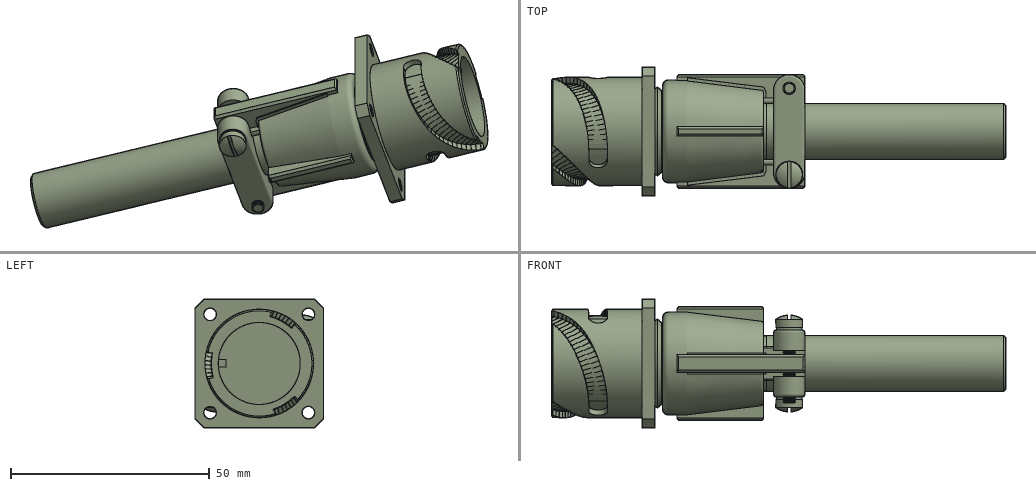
import cadquery as cq
import math

TOTAL_LENGTH = 114.67

SHELL_RADIUS = 13.7
SHELL_EDGE_CHAMFER = 0.4
BORE_RADIUS = 10.35
BORE_DEPTH = 4.5
KEY_WIDTH = 1.9
KEY_HEIGHT = 2.0
KEY_SETBACK = 0.4

RAMP_COUNT = 3
RAMP_WIDTH = 4.7
RAMP_FLOOR_RADIUS = 12.05
RAMP_END_X = 11.75
RAMP_END_ANGLE = -62.0
RAMP_STRAIGHT = 2.6
RAMP_BEND_RADIUS = 37.5
RAMP_BEND_ANGLE = 57.0
RAMP_FACETS = 27

FLANGE_SIZE = 32.51
FLANGE_START = 22.85
FLANGE_THICKNESS = 3.25
FLANGE_CORNER = 2.3
HOLE_OFFSET = 12.4
HOLE_MINOR_RADIUS = 1.55
HOLE_MAJOR_RADIUS = 1.95
HOLE_PITCH = 0.8

FLANGE_END = FLANGE_START + FLANGE_THICKNESS
NECK_START_RADIUS = 10.85
NECK_ROOT_RADIUS = 10.3
CREST_RADIUS = 11.2
CREST_OFFSET = 0.7
ROOT_OFFSET = 1.7
BACKSHELL_START = 28.0
BACKSHELL_RADIUS = 13.0
BACKSHELL_FRONT_FILLET = 1.5
CONE_START = 34.3
CONE_END = 53.55
CONE_END_RADIUS = 10.65
CONE_END_FILLET = 0.75

RIB_START = 31.65
RIB_REACH = 14.35
RIB_WIDTH = 2.4
RIB_CHAMFER = 0.6
RIB_END_CHAMFER = 0.45
ARM_THICKNESS = 4.5
ARM_END = 63.95
ROOT_BAND_THICKNESS = 5.2
ROOT_BAND_OFFSET = 0.55

STRUT_INNER_Y = 7.05
STRUT_THICKNESS = 1.35
STRUT_HALF_HEIGHT = 4.25
STRUT_CROWN = 0.3

CABLE_RADIUS = 7.1
CABLE_NECK_RADIUS = 7.05
CABLE_NECK_END = 54.2
CABLE_END_CHAMFER = 0.6

SADDLE_WIDTH = 7.95
SADDLE_X = ARM_END - SADDLE_WIDTH / 2
SADDLE_BOTTOM = 3.25
SADDLE_TOP = 8.45
SADDLE_FILLET = 0.7

SCREW_Y = 10.9
SCREW_RADIUS = 1.55
SCREW_ROOT_RADIUS = 1.25
SCREW_PITCH = 0.5
SCREW_TIP_Z = -10.0
WASHER_RADIUS = 3.25
WASHER_TOP = 9.1
HEAD_RADIUS = 3.4
HEAD_EDGE_Z = 11.15
HEAD_TOP = 12.25
HEAD_SLOT_WIDTH = 0.8


def cylinder_x(start, end, radius):
    """Solid cylinder along X between two stations."""
    return cq.Workplane("YZ", origin=(start, 0, 0)).circle(radius).extrude(end - start)


def box_between(low, high):
    """Axis-aligned box between two opposite corners."""
    size = [b - a for a, b in zip(low, high)]
    return cq.Workplane("XY", origin=low).box(*size, centered=False)


def ramp_station(index):
    """Axial position, run around the shell and heading at a facet boundary."""
    heading = math.radians(RAMP_BEND_ANGLE) * index / RAMP_FACETS
    axial = RAMP_END_X - RAMP_BEND_RADIUS * (1 - math.cos(heading))
    run = RAMP_STRAIGHT + RAMP_BEND_RADIUS * math.sin(heading)
    return axial, run, heading


def ramp_edges(axial, run, heading):
    """The two points of the ramp edge either side of its centreline."""
    half = RAMP_WIDTH / 2
    shift_x = half * math.cos(heading)
    shift_run = half * math.sin(heading)
    return (axial - shift_x, run - shift_run), (axial + shift_x, run + shift_run)


def tangent_plane(turn, radius):
    """Plane touching a cylinder; local x follows X, normal points inward."""
    angle = math.radians(turn)
    outward = (0, -math.cos(angle), math.sin(angle))
    origin = tuple(radius * part for part in outward)
    inward = tuple(-part for part in outward)
    return cq.Plane(origin=origin, xDir=(1, 0, 0), normal=inward)


def ramp_facet(near, far, start_angle):
    """One flat-floored segment of a ramp between two stations."""
    outside = SHELL_RADIUS + SHELL_EDGE_CHAMFER
    middle = (near[1] + far[1]) / 2
    corners = []
    near_low, near_high = ramp_edges(*near)
    far_low, far_high = ramp_edges(*far)
    for axial, run in (near_low, near_high, far_high, far_low):
        corners.append((axial, -outside * math.tan((run - middle) / SHELL_RADIUS)))
    plane = tangent_plane(start_angle + math.degrees(middle / SHELL_RADIUS), outside)
    return cq.Workplane(plane).polyline(corners).close().extrude(outside - RAMP_FLOOR_RADIUS)


def bayonet_ramp(start_angle):
    """All cutters of one ramp: round closed end, straight run and bend."""
    outside = SHELL_RADIUS + SHELL_EDGE_CHAMFER
    end_plane = tangent_plane(start_angle, outside)
    round_end = (
        cq.Workplane(end_plane).center(RAMP_END_X, 0).circle(RAMP_WIDTH / 2)
        .extrude(outside - RAMP_FLOOR_RADIUS)
    )
    stations = [(RAMP_END_X, 0, 0)]
    stations += [ramp_station(i) for i in range(RAMP_FACETS + 1)]
    cutters = [round_end.val()]
    for near, far in zip(stations, stations[1:]):
        cutters.append(ramp_facet(near, far, start_angle).val())
    return cutters


def mating_shell():
    shell = cylinder_x(0, FLANGE_START, SHELL_RADIUS)
    shell = shell.faces("<X").edges().chamfer(SHELL_EDGE_CHAMFER)
    shell = shell.cut(cylinder_x(0, BORE_DEPTH, BORE_RADIUS))
    key = box_between(
        (KEY_SETBACK, BORE_RADIUS - KEY_HEIGHT, -KEY_WIDTH / 2),
        (BORE_DEPTH, (BORE_RADIUS + RAMP_FLOOR_RADIUS) / 2, KEY_WIDTH / 2),
    )
    shell = shell.union(key)
    for i in range(RAMP_COUNT):
        cutters = bayonet_ramp(RAMP_END_ANGLE + i * 360 / RAMP_COUNT)
        shell = cq.Workplane(shell.val().cut(*cutters))
    return shell


def ring_thread(root, crest, length, pitch):
    """Rod along Z carrying V-shaped ring threads, starting and ending at the root."""
    turns = round(length / pitch)
    step = length / turns
    profile = [(0, 0), (root, 0)]
    for i in range(turns):
        profile.append((crest, (i + 0.5) * step))
        profile.append((root, (i + 1) * step))
    profile.append((0, length))
    return cq.Workplane("XZ").polyline(profile).close().revolve(360, (0, 0, 0), (0, 1, 0))


def flange():
    plate = cq.Workplane("YZ", origin=(FLANGE_START, 0, 0)).rect(FLANGE_SIZE, FLANGE_SIZE)
    plate = plate.extrude(FLANGE_THICKNESS).edges("|X").chamfer(FLANGE_CORNER)
    hole = ring_thread(HOLE_MINOR_RADIUS, HOLE_MAJOR_RADIUS, FLANGE_THICKNESS, HOLE_PITCH)
    hole = hole.rotate((0, 0, 0), (0, 1, 0), 90)
    for y in (-HOLE_OFFSET, HOLE_OFFSET):
        for z in (-HOLE_OFFSET, HOLE_OFFSET):
            plate = plate.cut(hole.translate((FLANGE_START, y, z)))
    return plate


def revolve_about_x(profile):
    """Solid of revolution about the connector axis from (x, radius) points."""
    return cq.Workplane("XY").polyline(profile).close().revolve(360, (0, 0, 0), (1, 0, 0))


def threaded_neck():
    return revolve_about_x([
        (FLANGE_END, 0),
        (FLANGE_END, NECK_START_RADIUS),
        (FLANGE_END + CREST_OFFSET, CREST_RADIUS),
        (FLANGE_END + ROOT_OFFSET, NECK_ROOT_RADIUS),
        (BACKSHELL_START, NECK_ROOT_RADIUS),
        (BACKSHELL_START, 0),
    ])


def backshell():
    body = revolve_about_x([
        (BACKSHELL_START, 0),
        (BACKSHELL_START, BACKSHELL_RADIUS),
        (CONE_START, BACKSHELL_RADIUS),
        (CONE_END, CONE_END_RADIUS),
        (CONE_END, 0),
    ])
    body = body.faces("<X").edges().fillet(BACKSHELL_FRONT_FILLET)
    return body.faces(">X").edges().fillet(CONE_END_FILLET)


def ribs():
    """Upper and lower ribs along the backshell."""
    plate = box_between((RIB_START, -RIB_WIDTH / 2, -RIB_REACH), (CONE_END, RIB_WIDTH / 2, RIB_REACH))
    plate = plate.faces("<Z or >Z").edges("|Y").chamfer(RIB_END_CHAMFER)
    return plate.faces("<Z or >Z").edges("|X").chamfer(RIB_CHAMFER)


def arm(side):
    """Clamp arm on the +Y (side = 1) or -Y (side = -1) flank."""
    inner = STRUT_INNER_Y + STRUT_THICKNESS / 2
    half = ARM_THICKNESS / 2
    plate = box_between((RIB_START, inner, -half), (ARM_END, RIB_REACH, half))
    plate = plate.faces(">Y").edges("|Z").chamfer(RIB_END_CHAMFER)
    plate = plate.faces(">Y").edges("|X").chamfer(RIB_CHAMFER)
    half_band = ROOT_BAND_THICKNESS / 2
    profile = [
        (CONE_START, inner),
        (CONE_START, BACKSHELL_RADIUS + ROOT_BAND_OFFSET),
        (CONE_END, CONE_END_RADIUS + ROOT_BAND_OFFSET),
        (CONE_END + ROOT_BAND_OFFSET, CONE_END_RADIUS - ROOT_BAND_OFFSET),
        (CONE_END + ROOT_BAND_OFFSET, inner),
    ]
    band = cq.Workplane("XY", origin=(0, 0, -half_band)).polyline(profile).close()
    band = band.extrude(ROOT_BAND_THICKNESS)
    whole_arm = plate.union(band)
    return whole_arm if side > 0 else whole_arm.mirror("XZ")


def strut(side):
    """Bar with crowned edges beside the cable, from the backshell to the clamp end."""
    middle = side * (STRUT_INNER_Y + STRUT_THICKNESS / 2)
    half = STRUT_THICKNESS / 2
    edge = STRUT_HALF_HEIGHT - STRUT_CROWN
    return (
        cq.Workplane("YZ", origin=(CONE_END, middle, 0))
        .moveTo(-half, -edge).lineTo(-half, edge)
        .threePointArc((0, STRUT_HALF_HEIGHT), (half, edge))
        .lineTo(half, -edge)
        .threePointArc((0, -STRUT_HALF_HEIGHT), (-half, -edge))
        .close().extrude(ARM_END - CONE_END)
    )


def cable():
    body = cylinder_x(CABLE_NECK_END, TOTAL_LENGTH, CABLE_RADIUS)
    body = body.faces(">X").edges().chamfer(CABLE_END_CHAMFER)
    return body.union(cylinder_x(CONE_END, CABLE_NECK_END, CABLE_NECK_RADIUS))


def saddle():
    """Upper clamp bar with round ends."""
    bar = (
        cq.Workplane("XY", origin=(SADDLE_X, 0, SADDLE_BOTTOM))
        .slot2D(2 * RIB_REACH, SADDLE_WIDTH, 90).extrude(SADDLE_TOP - SADDLE_BOTTOM)
    )
    return bar.faces(">Z").edges().fillet(SADDLE_FILLET)


def screw():
    """Slotted screw of the -Y flank, head up."""
    shank = ring_thread(SCREW_ROOT_RADIUS, SCREW_RADIUS, SADDLE_TOP - SCREW_TIP_Z, SCREW_PITCH)
    shank = shank.translate((0, 0, SCREW_TIP_Z))
    washer = cq.Workplane("XY", origin=(0, 0, SADDLE_TOP)).circle(WASHER_RADIUS)
    washer = washer.extrude(WASHER_TOP - SADDLE_TOP)
    rise = HEAD_TOP - HEAD_EDGE_Z
    dome_radius = (HEAD_RADIUS ** 2 + rise ** 2) / (2 * rise)
    half_radius = HEAD_RADIUS / 2
    shoulder_z = HEAD_TOP - dome_radius + math.sqrt(dome_radius ** 2 - half_radius ** 2)
    head = (
        cq.Workplane("XZ").moveTo(0, WASHER_TOP).lineTo(HEAD_RADIUS, WASHER_TOP)
        .lineTo(HEAD_RADIUS, HEAD_EDGE_Z)
        .threePointArc((half_radius, shoulder_z), (0, HEAD_TOP))
        .close().revolve(360, (0, 0, 0), (0, 1, 0))
    )
    half_slot = HEAD_SLOT_WIDTH / 2
    slot = box_between((-half_slot, -HEAD_RADIUS, HEAD_EDGE_Z), (half_slot, HEAD_RADIUS, HEAD_TOP))
    return shank.union(washer).union(head.cut(slot)).translate((SADDLE_X, -SCREW_Y, 0))


def half_turn(body):
    """Copy of a body turned half way round the connector axis."""
    return body.rotate((0, 0, 0), (1, 0, 0), 180)


result = mating_shell().union(flange()).union(threaded_neck()).union(backshell())
result = result.union(ribs()).union(cable())
for flank in (1, -1):
    result = result.union(arm(flank)).union(strut(flank))
for clamp_piece in (saddle(), screw()):
    result = result.union(clamp_piece).union(half_turn(clamp_piece))